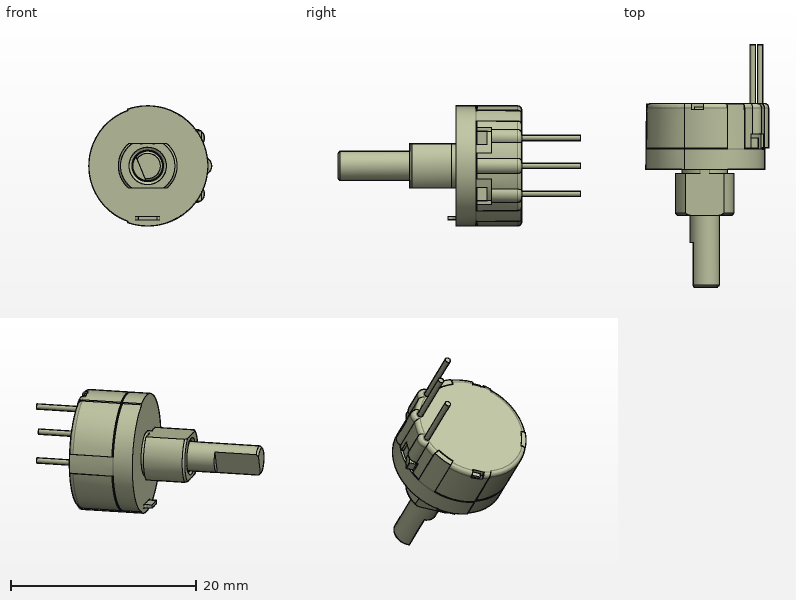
import cadquery as cq
import math


body_radius = 6.5
relieved_radius = 6.37
relief_edge_x = -2.17
base_length = 2.17
groove_width = 0.13
groove_radius = 6.24
body_length = 7.13
rear_fillet = 0.5
housing_front = base_length + groove_width

key_angles = (58, 180, 302)
key_half_angle = 9.7
key_rear_gap = 0.08

wire_radius = 0.3
wire_length = 6.35
wire_pitch = 3.0
middle_wire_x = 5.97
outer_wire_x = 5.2
lug_radius = 0.95
wire_centres = (
    (outer_wire_x, -wire_pitch),
    (middle_wire_x, 0),
    (outer_wire_x, wire_pitch),
)

recess_length = 1.52
recess_min_x = 5.0
recess_inner_z = 1.41
hook_length = 1.05
hook_outer_x = 5.8
hook_outer_z = 3.77

notch_min_x = -1.41
notch_width = 1.3
notch_length = 0.65
notch_floor_z = 5.87
ledge_inset_x = 0.31
ledge_depth = 0.25
ledge_z = 6.35

neck_radius = 2.45
neck_length = 0.45
bushing_radius = 3.17
bushing_front = 4.98
bushing_chamfer = 0.24
flat_half_width = 2.4
countersink_mouth_radius = 2.02
countersink_floor_radius = 1.7
countersink_depth = 0.2

shaft_radius = 1.6
shaft_reach = 12.73
shaft_chamfer = 0.24
shaft_flat_start = 7.9
shaft_flat_distance = 0.79
shaft_flat_angle = 22.5

tab_width = 2.02
tab_top_z = -5.45
tab_thickness = 0.37
tab_length = 0.86
tab_root_fillet = 0.3


def cylinder(radius, y_start, y_end, x=0, z=0):
    """Round bar parallel to Y."""
    return cq.Workplane("XZ", origin=(x, y_start, z)).circle(radius).extrude(y_start - y_end)


def block(x_min, x_max, y_min, y_max, z_min, z_max):
    """Box given by its limits."""
    size = (x_max - x_min, y_max - y_min, z_max - z_min)
    return cq.Workplane().box(*size, centered=False).translate((x_min, y_min, z_min))


def stepped_disc(y_start, y_end, fillet=0):
    """Disc with the smaller radius on the -X side and an optional rear fillet."""
    wide = cylinder(body_radius, y_start, y_end)
    narrow = cylinder(relieved_radius, y_start, y_end)
    if fillet:
        wide = wide.faces(">Y").edges().fillet(fillet)
        narrow = narrow.faces(">Y").edges().fillet(fillet)
    relief = block(-2 * body_radius, relief_edge_x, y_start, y_end, -body_radius, body_radius)
    return wide.cut(relief).union(narrow)


def lug(x, z):
    bar = cylinder(lug_radius, housing_front, body_length, x, z)
    return bar.faces(">Y").edges().fillet(rear_fillet)


def snap_recess(side):
    """Recess through an outer lug down to the groove radius; side is +1 or -1 along Z."""
    far = 2 * body_radius
    z_limits = sorted((side * recess_inner_z, side * far))
    recess_end = housing_front + recess_length
    window = block(recess_min_x, far, housing_front, recess_end, *z_limits)
    return window.cut(cylinder(groove_radius, 0, body_length))


def hook(side):
    z_limits = sorted((side * recess_inner_z, side * hook_outer_z))
    hook_end = housing_front + hook_length
    square = block(outer_wire_x - lug_radius, hook_outer_x, housing_front, hook_end, *z_limits)
    return square.intersect(cylinder(lug_radius, housing_front, body_length, outer_wire_x, side * wire_pitch))


def rear_notch():
    """Notch in the top of the rear edge with a raised ledge along its front wall."""
    notch_start = body_length - notch_length
    notch_end_x = notch_min_x + notch_width
    notch = block(notch_min_x, notch_end_x, notch_start, body_length, notch_floor_z, body_radius)
    ledge = block(
        notch_min_x + ledge_inset_x, notch_end_x,
        notch_start, notch_start + ledge_depth,
        notch_floor_z, ledge_z,
    )
    return notch.cut(ledge)


def key_sector(angle, y_start, y_end):
    """Wedge covering the angular range of one key."""
    reach = 2 * body_radius
    half_width = reach * math.tan(math.radians(key_half_angle))
    wedge = (
        cq.Workplane("XZ", origin=(0, y_start, 0))
        .polyline([(0, 0), (reach, -half_width), (reach, half_width)])
        .close()
        .extrude(y_start - y_end)
    )
    return wedge.rotate((0, 0, 0), (0, 1, 0), -angle)


def key(angle):
    """Tapered key: full radius at the rear of the base, shrinking to its chord distance at the rear."""
    key_end = body_length - key_rear_gap
    front_radius = relieved_radius if angle == 180 else body_radius
    rear_radius = front_radius * math.cos(math.radians(key_half_angle))
    cone = (
        cq.Workplane("XY")
        .polyline([(0, base_length), (front_radius, base_length), (rear_radius, key_end), (0, key_end)])
        .close()
        .revolve(360, (0, 0), (0, 1))
    )
    return cone.intersect(key_sector(angle, base_length, key_end))


def make_body():
    body = stepped_disc(housing_front, body_length, rear_fillet)
    for x, z in wire_centres:
        body = body.union(lug(x, z))
    for side in (1, -1):
        body = body.cut(snap_recess(side)).union(hook(side))
    notch = rear_notch()
    body = body.cut(notch).cut(notch.mirror("XY"))
    body = body.union(stepped_disc(0, base_length))
    body = body.union(cylinder(groove_radius, base_length / 2, body_length / 2))
    core = cylinder(groove_radius - rear_fillet, 0, body_length)
    for angle in key_angles:
        slot = key_sector(angle, base_length, body_length).cut(core)
        body = body.cut(slot).union(key(angle))
    return body


def make_bushing():
    bushing = cylinder(bushing_radius, -bushing_front, -neck_length)
    bushing = bushing.faces("<Y").edges().chamfer(bushing_chamfer)
    bushing = bushing.union(cylinder(neck_radius, -neck_length, 0))
    flats = block(
        -bushing_radius, bushing_radius, -bushing_front, 0, -flat_half_width, flat_half_width
    )
    bushing = bushing.intersect(flats)
    countersink = (
        cq.Workplane("XY")
        .polyline([
            (0, -bushing_front),
            (countersink_mouth_radius, -bushing_front),
            (countersink_floor_radius, -bushing_front + countersink_depth),
            (0, -bushing_front + countersink_depth),
        ])
        .close()
        .revolve(360, (0, 0), (0, 1))
    )
    return bushing.cut(countersink)


def make_shaft():
    shaft = cylinder(shaft_radius, -shaft_reach, 0)
    shaft = shaft.faces("<Y").edges().chamfer(shaft_chamfer)
    waste = block(
        -2 * shaft_radius, -shaft_flat_distance,
        -shaft_reach, -shaft_flat_start,
        -shaft_radius, shaft_radius,
    )
    return shaft.cut(waste.rotate((0, 0, 0), (0, 1, 0), -shaft_flat_angle))


def make_tab():
    """Flat tab with concave fillets where its sides meet the base."""
    half_width = tab_width / 2
    root_half_width = half_width + tab_root_fillet
    bulge = tab_root_fillet * (1 - math.sqrt(0.5))
    return (
        cq.Workplane("XY", origin=(0, 0, tab_top_z - tab_thickness))
        .moveTo(-root_half_width, 0)
        .threePointArc((-half_width - bulge, -bulge), (-half_width, -tab_root_fillet))
        .lineTo(-half_width, -tab_length)
        .lineTo(half_width, -tab_length)
        .lineTo(half_width, -tab_root_fillet)
        .threePointArc((half_width + bulge, -bulge), (root_half_width, 0))
        .close()
        .extrude(tab_thickness)
    )


result = make_body().union(make_bushing()).union(make_shaft()).union(make_tab())
for wire_x, wire_z in wire_centres:
    wire = cylinder(wire_radius, body_length, body_length + wire_length, wire_x, wire_z)
    result = result.union(wire)